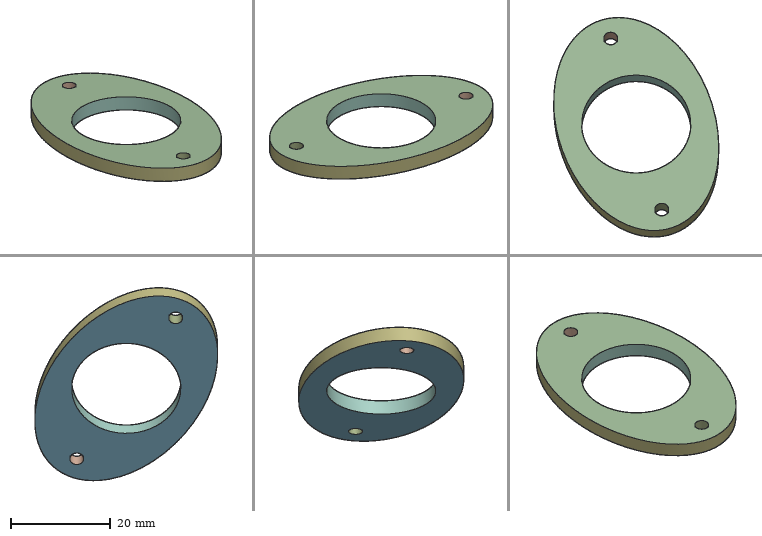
import cadquery as cq

length = 48.95
width = 31.95
thickness = 3.0

bore_diameter = 22.0
bolt_hole_diameter = 2.8
bolt_hole_spacing = 39.9

plate = cq.Workplane("XY").ellipse(length / 2, width / 2).extrude(thickness)

plate = plate.faces(">Z").workplane(origin=(0, 0, thickness)).hole(bore_diameter)

bolt_positions = [(-bolt_hole_spacing / 2, 0), (bolt_hole_spacing / 2, 0)]
result = (
    plate.faces(">Z")
    .workplane(origin=(0, 0, thickness))
    .pushPoints(bolt_positions)
    .hole(bolt_hole_diameter)
)